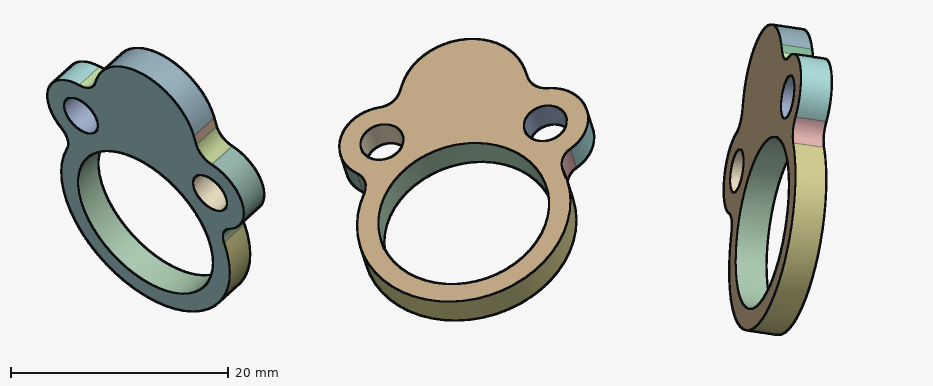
import cadquery as cq
import math

thickness = 3.0
height = 29.95
width = 23.32
ring_radius = 10.0
bore_diameter = 16.0
lobe_radius = 6.0
ear_radius = 4.0
ear_hole_diameter = 4.0
ear_z = 9.25
blend_radius = 2.0

lobe_z = height - ring_radius - lobe_radius
ear_x = width / 2 - ear_radius
ear_centers = [(-ear_x, ear_z), (ear_x, ear_z)]

ear_to_lobe = math.hypot(ear_x, lobe_z - ear_z)
lean = math.acos(lobe_radius / ear_to_lobe) - math.atan2(lobe_z - ear_z, ear_x)
flank_x = lobe_radius * math.cos(lean)
flank_z = lobe_z + lobe_radius * math.sin(lean)


def plate_plane():
    """XZ plane at the back face, so that extrusion runs toward -Y."""
    return cq.Workplane("XZ", origin=(0, thickness / 2, 0))


def lobe():
    """Rounded top with straight flanks, narrowing to the ring centre below the ears."""
    return (
        plate_plane()
        .lineTo(ear_x, ear_z)
        .lineTo(flank_x, flank_z)
        .threePointArc((0, lobe_z + lobe_radius), (-flank_x, flank_z))
        .lineTo(-ear_x, ear_z)
        .close()
        .extrude(thickness)
    )


def blend_ears(plate):
    """Round the inside corners where the ears meet the lobe and the ring."""
    corner_zone = cq.selectors.BoxSelector(
        (-ear_x - ear_radius / 2, -thickness, ear_z - 2 * ear_radius),
        (ear_x + ear_radius / 2, thickness, (ear_z + ear_radius + flank_z) / 2),
    )
    return plate.edges("|Y").edges(corner_zone).fillet(blend_radius)


ring = plate_plane().circle(ring_radius).extrude(thickness)
ears = plate_plane().pushPoints(ear_centers).circle(ear_radius).extrude(thickness)
outline = blend_ears(ring.union(lobe()).union(ears))

bore = plate_plane().circle(bore_diameter / 2).extrude(thickness)
ear_holes = plate_plane().pushPoints(ear_centers).circle(ear_hole_diameter / 2).extrude(thickness)

result = outline.cut(bore).cut(ear_holes)